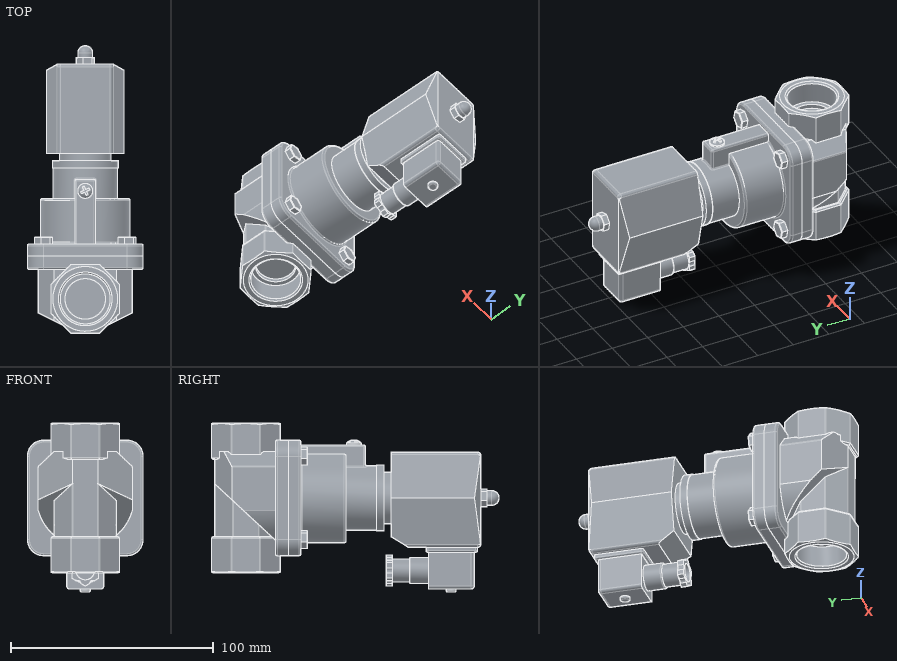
import cadquery as cq
import math


PIPE_HALF_LENGTH = 37.0
COLLAR_ACROSS_FLATS = 34.0
COLLAR_LENGTH = 18.0
COLLAR_ROUND_DIAMETER = 31.98
COLLAR_ROUND_DROP = 0.8
COLLAR_INNER_CHAMFER = 0.8
NECK_ACROSS_FLATS = 30.8
OCTAGON_EDGE_FILLET = 0.6
PORT_DIAMETER = 24.66
PORT_DEPTH = 11.6
PORT_CHAMFER = 0.9
SEAT_DIAMETER = 20.0
SEAT_DEPTH = 2.3

CHAMBER_HALF_WIDTH = 23.2
CHAMBER_RADIUS = 24.0
CHAMBER_TOP = 22.9
CHAMBER_TOP_HALF_WIDTH = 15.4
CHAMBER_SHOULDER_Z = 15.5
CHAMBER_SIDE_FRONT_Y = -6.9
CHAMBER_EDGE_FILLET = 0.8
CUT_FRONT_Z = 7.0
CUT_BACK_Z = -20.8

FLANGE_SIZE = 57.1
FLANGE_CORNER_RADIUS = 8.0
FLANGE_EDGE_FILLET = 1.0
FLANGE_FRONT_Y = 14.55
JOINT_Y = 21.05
FLANGE_BACK_Y = 27.2
BOLT_OFFSET = 20.6
HEX_ACROSS_FLATS = 8.0
HEX_VERTEX_ANGLE = 45.0
BOLT_HEAD_HEIGHT = 3.3
BOLT_HEAD_CHAMFER = 0.3

BONNET_RADIUS = 22.2
BONNET_END_Y = 49.5
BONNET_FILLET = 1.0
BONNET_ROOT_FILLET = 0.8
SLEEVE_RADIUS = 16.0
SLEEVE_END_Y = 64.5
RING_RADIUS = 16.3
RING_END_Y = 68.2
BRIDGE_TOP_Z = 26.2
BRIDGE_WIDTH = 10.2
BRIDGE_END_Y = 59.0
BRIDGE_FILLET = 0.9
BRIDGE_ROOT_FILLET = 0.7
BRIDGE_SCREW_Y = 53.3
BRIDGE_SCREW_DIAMETER = 7.4
BRIDGE_SCREW_RIM_HEIGHT = 0.8
BRIDGE_SCREW_HEIGHT = 2.5
CROSS_LENGTH = 4.6
CROSS_WIDTH = 1.0
CROSS_DEPTH = 1.4
CROSS_ANGLE = 25.0

COIL_NECK_DIAMETER = 25.57
COIL_FRONT_Y = 71.7
COIL_BACK_Y = 116.0
COIL_TOP_Z = 22.6
COIL_BOTTOM_Z = -24.4
COIL_HALF_WIDTH = 19.2
COIL_END_HALF_WIDTH = 13.5
COIL_BACK_SLOPE = 3.2
COIL_EDGE_FILLET = 1.7
COIL_NOTCH_LENGTH = 8.5
COIL_NOTCH_HEIGHT = 5.2

CAP_HEX_LENGTH = 3.0
CAP_DIAMETER = 7.4
CAP_END_Y = 124.97

GASKET_WIDTH = 20.8
GASKET_FRONT_Y = 88.9
GASKET_BACK_Y = 114.3
GASKET_BOTTOM_Z = -26.8
GASKET_FILLET = 1.0
GASKET_RIM_FILLET = 0.8
PLUG_WIDTH = 18.4
PLUG_FRONT_Y = 90.1
PLUG_BACK_Y = 112.7
PLUG_BOTTOM_Z = -45.0
PLUG_FILLET = 1.6
PLUG_SCREW_DIAMETER = 5.0
PLUG_SCREW_FILLET = 0.7
PLUG_SCREW_Y = 101.3
PLUG_SCREW_BOTTOM_Z = -46.42
GLAND_AXIS_Z = -35.8
GLAND_BASE_RADIUS = 6.45
GLAND_BASE_FRONT_Y = 80.7
GLAND_BASE_FILLET = 0.6
GLAND_STEM_RADIUS = 5.75
GLAND_NUT_BACK_Y = 72.3
GLAND_NUT_FRONT_Y = 69.15
GLAND_NUT_TIP_RADIUS = 7.65
GLAND_SCALLOP_RADIUS = 1.9
GLAND_SCALLOP_CENTRE_RADIUS = 8.0
GLAND_HOLE_DIAMETER = 9.2

SIDES_OF_HEX = 6
SIDES_OF_OCTAGON = 8


def cylinder_y(radius, y_from, y_to, x=0.0, z=0.0):
    """Cylinder along +Y from y_from to y_to."""
    plane = cq.Plane(origin=(x, y_from, z), xDir=(1, 0, 0), normal=(0, 1, 0))
    return cq.Workplane(plane).circle(radius).extrude(y_to - y_from)


def block(width, y_from, y_to, z_from, z_to):
    """Box centred on X."""
    return cq.Workplane("XY").box(width, y_to - y_from, z_to - z_from).translate(
        (0, (y_from + y_to) / 2, (z_from + z_to) / 2)
    )


def profile_xz(points, y_from, y_to):
    """Closed XZ outline extruded along +Y."""
    return cq.Workplane("XZ", origin=(0, y_from, 0)).polyline(points).close().extrude(y_from - y_to)


def hex_prism(x, z, y_from, y_to):
    """Hexagon head along +Y; one vertex lies at HEX_VERTEX_ANGLE from X toward Z."""
    radius = HEX_ACROSS_FLATS / 2 / math.cos(math.pi / SIDES_OF_HEX)
    points = []
    for side in range(SIDES_OF_HEX):
        angle = math.radians(HEX_VERTEX_ANGLE + side * 360 / SIDES_OF_HEX)
        points.append((x + radius * math.cos(angle), z + radius * math.sin(angle)))
    return profile_xz(points, y_from, y_to)


def octagon_prism(across_flats, z_from, z_to):
    """Octagon along Z with flats square to X and Y."""
    corner_diameter = across_flats / math.cos(math.pi / SIDES_OF_OCTAGON)
    prism = cq.Workplane("XY", origin=(0, 0, z_from)).polygon(SIDES_OF_OCTAGON, corner_diameter)
    return prism.extrude(z_to - z_from).rotate((0, 0, 0), (0, 0, 1), 180 / SIDES_OF_OCTAGON)


def make_collar():
    """Upper pipe collar: octagon with corners turned off at the open end."""
    collar = octagon_prism(COLLAR_ACROSS_FLATS, PIPE_HALF_LENGTH - COLLAR_LENGTH, PIPE_HALF_LENGTH)
    collar = collar.faces("<Z").chamfer(COLLAR_INNER_CHAMFER)

    end_radius = COLLAR_ROUND_DIAMETER / 2
    corner_radius = COLLAR_ACROSS_FLATS / 2 / math.cos(math.pi / SIDES_OF_OCTAGON)
    cone_slope = COLLAR_ROUND_DROP / (corner_radius - end_radius)
    turning_reach = 2 * corner_radius
    envelope = (
        cq.Workplane("XZ")
        .moveTo(0, 0)
        .lineTo(turning_reach, 0)
        .lineTo(turning_reach, PIPE_HALF_LENGTH - cone_slope * (turning_reach - end_radius))
        .lineTo(end_radius, PIPE_HALF_LENGTH)
        .lineTo(0, PIPE_HALF_LENGTH)
        .close()
        .revolve(360, (0, 0, 0), (0, 1, 0))
    )
    return collar.intersect(envelope).edges("|Z").fillet(OCTAGON_EDGE_FILLET)


def make_port():
    """Stepped blind port at the upper pipe end, as a cutter."""
    bore = cq.Workplane("XY", origin=(0, 0, PIPE_HALF_LENGTH)).circle(PORT_DIAMETER / 2).extrude(-PORT_DEPTH)
    seat = (
        cq.Workplane("XY", origin=(0, 0, PIPE_HALF_LENGTH - PORT_DEPTH))
        .circle(SEAT_DIAMETER / 2)
        .extrude(-SEAT_DEPTH)
    )
    mouth = cq.Solid.makeCone(
        PORT_DIAMETER / 2,
        PORT_DIAMETER / 2 + PORT_CHAMFER,
        PORT_CHAMFER,
        pnt=cq.Vector(0, 0, PIPE_HALF_LENGTH - PORT_CHAMFER),
    )
    return bore.union(seat).union(cq.Workplane(obj=mouth))


def make_chamber():
    """Diaphragm chamber: shouldered top, round underside, tapered front, sloping underside cut."""
    neck_front_y = -NECK_ACROSS_FLATS / 2
    neck_half_flat = NECK_ACROSS_FLATS / 2 * math.tan(math.pi / SIDES_OF_OCTAGON)
    arc_start_z = -math.sqrt(CHAMBER_RADIUS**2 - CHAMBER_HALF_WIDTH**2)
    elevation = (
        cq.Workplane("XZ", origin=(0, JOINT_Y, 0))
        .moveTo(-CHAMBER_HALF_WIDTH, arc_start_z)
        .lineTo(-CHAMBER_HALF_WIDTH, CHAMBER_SHOULDER_Z)
        .lineTo(-CHAMBER_TOP_HALF_WIDTH, CHAMBER_TOP)
        .lineTo(CHAMBER_TOP_HALF_WIDTH, CHAMBER_TOP)
        .lineTo(CHAMBER_HALF_WIDTH, CHAMBER_SHOULDER_Z)
        .lineTo(CHAMBER_HALF_WIDTH, arc_start_z)
        .threePointArc((0, -CHAMBER_RADIUS), (-CHAMBER_HALF_WIDTH, arc_start_z))
        .close()
        .extrude(JOINT_Y - neck_front_y)
    )
    shoulders = cq.selectors.BoxSelector(
        (-FLANGE_SIZE, -FLANGE_SIZE, 0),
        (FLANGE_SIZE, FLANGE_SIZE, (CHAMBER_SHOULDER_Z + CHAMBER_TOP) / 2),
    )
    elevation = elevation.edges("|Y").edges(shoulders).fillet(CHAMBER_EDGE_FILLET)
    plan = (
        cq.Workplane("XY", origin=(0, 0, -PIPE_HALF_LENGTH))
        .polyline(
            [
                (-CHAMBER_HALF_WIDTH, JOINT_Y),
                (-CHAMBER_HALF_WIDTH, CHAMBER_SIDE_FRONT_Y),
                (-neck_half_flat, neck_front_y),
                (neck_half_flat, neck_front_y),
                (CHAMBER_HALF_WIDTH, CHAMBER_SIDE_FRONT_Y),
                (CHAMBER_HALF_WIDTH, JOINT_Y),
            ]
        )
        .close()
        .extrude(2 * PIPE_HALF_LENGTH)
    )
    side = (
        cq.Workplane("YZ", origin=(-CHAMBER_HALF_WIDTH, 0, 0))
        .polyline(
            [
                (neck_front_y, CUT_FRONT_Z),
                (neck_front_y, CHAMBER_TOP),
                (JOINT_Y, CHAMBER_TOP),
                (JOINT_Y, CUT_BACK_Z),
                (FLANGE_FRONT_Y, CUT_BACK_Z),
            ]
        )
        .close()
        .extrude(2 * CHAMBER_HALF_WIDTH)
    )
    return elevation.intersect(plan).intersect(side)


def make_flange(y_from, y_to, rounded_face):
    """Square flange plate with round corners; the outer face has a rounded rim."""
    plate = block(FLANGE_SIZE, y_from, y_to, -FLANGE_SIZE / 2, FLANGE_SIZE / 2)
    plate = plate.edges("|Y").fillet(FLANGE_CORNER_RADIUS)
    return plate.faces(rounded_face).edges().fillet(FLANGE_EDGE_FILLET)


def make_valve_body():
    neck_end = PIPE_HALF_LENGTH - COLLAR_LENGTH / 2
    body = octagon_prism(NECK_ACROSS_FLATS, -neck_end, neck_end).edges("|Z").fillet(OCTAGON_EDGE_FILLET)
    body = body.union(make_chamber())
    body = body.union(make_flange(FLANGE_FRONT_Y, JOINT_Y, "<Y"))
    collar = make_collar()
    port = make_port()
    body = body.union(collar).union(collar.mirror("XY"))
    return body.cut(port).cut(port.mirror("XY"))


def make_bridge():
    """Rib on top of the bonnet that carries the override screw."""
    bridge = block(BRIDGE_WIDTH, JOINT_Y, BRIDGE_END_Y, 0, BRIDGE_TOP_Z)
    return bridge.faces(">Z or >Y").edges("not (<Z or <Y)").fillet(BRIDGE_FILLET)


def make_bridge_screw():
    """Domed screw head with a cross recess."""
    base = cq.Workplane("XY", origin=(0, BRIDGE_SCREW_Y, BRIDGE_TOP_Z))
    radius = BRIDGE_SCREW_DIAMETER / 2
    dome_height = BRIDGE_SCREW_HEIGHT - BRIDGE_SCREW_RIM_HEIGHT
    dome_radius = (radius**2 + dome_height**2) / (2 * dome_height)
    dome_centre_z = BRIDGE_TOP_Z + BRIDGE_SCREW_HEIGHT - dome_radius
    dome = cq.Workplane("XY", origin=(0, BRIDGE_SCREW_Y, dome_centre_z)).sphere(dome_radius)
    screw = base.circle(radius).extrude(BRIDGE_SCREW_HEIGHT).intersect(dome)
    recess_floor = base.workplane(offset=BRIDGE_SCREW_HEIGHT - CROSS_DEPTH)
    for angle in (CROSS_ANGLE, CROSS_ANGLE + 90):
        slot = recess_floor.transformed(rotate=(0, 0, angle)).rect(CROSS_LENGTH, CROSS_WIDTH)
        screw = screw.cut(slot.extrude(CROSS_DEPTH))
    return screw


def make_bonnet():
    drum = cylinder_y(BONNET_RADIUS, JOINT_Y, BONNET_END_Y)
    drum = drum.faces(">Y").edges().fillet(BONNET_FILLET)
    bonnet = make_flange(JOINT_Y, FLANGE_BACK_Y, ">Y").union(drum)
    drum_root = cq.selectors.BoxSelector((-1, FLANGE_BACK_Y - 1, -1), (1, FLANGE_BACK_Y + 1, 1))
    bonnet = bonnet.edges(drum_root).fillet(BONNET_ROOT_FILLET)

    bonnet = bonnet.union(cylinder_y(SLEEVE_RADIUS, JOINT_Y, SLEEVE_END_Y))
    bonnet = bonnet.union(make_bridge())
    bridge_root = cq.selectors.BoxSelector(
        (-BRIDGE_WIDTH, BONNET_END_Y + BONNET_FILLET, 0),
        (BRIDGE_WIDTH, BRIDGE_END_Y + BONNET_FILLET, SLEEVE_RADIUS + BRIDGE_ROOT_FILLET),
    )
    bonnet = bonnet.edges(bridge_root).fillet(BRIDGE_ROOT_FILLET)
    bonnet = bonnet.union(cylinder_y(RING_RADIUS, SLEEVE_END_Y, RING_END_Y))
    return bonnet.union(make_bridge_screw())


def make_bolt(x, z):
    """Hexagon bolt head seated on the bonnet flange."""
    head = hex_prism(x, z, FLANGE_BACK_Y, FLANGE_BACK_Y + BOLT_HEAD_HEIGHT)
    return head.faces(">Y").chamfer(BOLT_HEAD_CHAMFER)


def make_coil():
    elevation = profile_xz(
        [
            (-COIL_END_HALF_WIDTH, COIL_BOTTOM_Z),
            (-COIL_HALF_WIDTH, 0),
            (-COIL_END_HALF_WIDTH, COIL_TOP_Z),
            (COIL_END_HALF_WIDTH, COIL_TOP_Z),
            (COIL_HALF_WIDTH, 0),
            (COIL_END_HALF_WIDTH, COIL_BOTTOM_Z),
        ],
        COIL_FRONT_Y,
        COIL_BACK_Y,
    )
    plan = (
        cq.Workplane("XY", origin=(0, 0, COIL_BOTTOM_Z))
        .polyline(
            [
                (-COIL_HALF_WIDTH, COIL_FRONT_Y),
                (-COIL_HALF_WIDTH, COIL_BACK_Y - COIL_BACK_SLOPE),
                (-COIL_END_HALF_WIDTH, COIL_BACK_Y),
                (COIL_END_HALF_WIDTH, COIL_BACK_Y),
                (COIL_HALF_WIDTH, COIL_BACK_Y - COIL_BACK_SLOPE),
                (COIL_HALF_WIDTH, COIL_FRONT_Y),
            ]
        )
        .close()
        .extrude(COIL_TOP_Z - COIL_BOTTOM_Z)
    )
    coil = elevation.intersect(plan)
    for face in (">Z", "<Z"):
        coil = coil.faces(face).edges("not <Y").fillet(COIL_EDGE_FILLET)
    notch = (
        cq.Workplane("YZ", origin=(-COIL_HALF_WIDTH, 0, 0))
        .polyline(
            [
                (COIL_FRONT_Y, COIL_BOTTOM_Z),
                (COIL_FRONT_Y + COIL_NOTCH_LENGTH, COIL_BOTTOM_Z),
                (COIL_FRONT_Y, COIL_BOTTOM_Z + COIL_NOTCH_HEIGHT),
            ]
        )
        .close()
        .extrude(2 * COIL_HALF_WIDTH)
    )
    return coil.cut(notch).union(cylinder_y(COIL_NECK_DIAMETER / 2, RING_END_Y, COIL_FRONT_Y))


def make_cap_nut():
    """Domed nut that holds the coil."""
    radius = CAP_DIAMETER / 2
    hex_end_y = COIL_BACK_Y + CAP_HEX_LENGTH
    dome_centre_y = CAP_END_Y - radius
    cap = cylinder_y(radius, hex_end_y, dome_centre_y)
    dome = cq.Workplane("XY", origin=(0, dome_centre_y, 0)).sphere(radius)
    return hex_prism(0, 0, COIL_BACK_Y, hex_end_y).union(cap).union(dome)


def make_gland():
    """Cable gland: stepped stem with a scalloped six-lobed nut."""
    base = cylinder_y(GLAND_BASE_RADIUS, GLAND_BASE_FRONT_Y, PLUG_FRONT_Y, z=GLAND_AXIS_Z)
    base = base.faces("<Y").edges().fillet(GLAND_BASE_FILLET)
    stem = cylinder_y(GLAND_STEM_RADIUS, GLAND_NUT_FRONT_Y, PLUG_FRONT_Y, z=GLAND_AXIS_Z)

    tips = []
    for lobe in range(SIDES_OF_HEX):
        angle = math.radians(30 + lobe * 360 / SIDES_OF_HEX)
        tip_x = GLAND_NUT_TIP_RADIUS * math.cos(angle)
        tips.append((tip_x, GLAND_AXIS_Z + GLAND_NUT_TIP_RADIUS * math.sin(angle)))
    nut = profile_xz(tips, GLAND_NUT_FRONT_Y, GLAND_NUT_BACK_Y)
    for lobe in range(SIDES_OF_HEX):
        angle = math.radians(lobe * 360 / SIDES_OF_HEX)
        scallop = cylinder_y(
            GLAND_SCALLOP_RADIUS,
            GLAND_NUT_FRONT_Y,
            GLAND_NUT_BACK_Y,
            x=GLAND_SCALLOP_CENTRE_RADIUS * math.cos(angle),
            z=GLAND_AXIS_Z + GLAND_SCALLOP_CENTRE_RADIUS * math.sin(angle),
        )
        nut = nut.cut(scallop)
    hole = cylinder_y(GLAND_HOLE_DIAMETER / 2, GLAND_NUT_FRONT_Y, PLUG_FRONT_Y, z=GLAND_AXIS_Z)
    return base.union(stem).union(nut).cut(hole)


def make_plug():
    gasket = block(GASKET_WIDTH, GASKET_FRONT_Y, GASKET_BACK_Y, GASKET_BOTTOM_Z, COIL_BOTTOM_Z)
    gasket = gasket.edges("|Z").fillet(GASKET_FILLET)
    gasket = gasket.faces("<Z").edges().fillet(GASKET_RIM_FILLET)
    case = block(PLUG_WIDTH, PLUG_FRONT_Y, PLUG_BACK_Y, PLUG_BOTTOM_Z, GASKET_BOTTOM_Z)
    case = case.edges("(|Z and >Y) or (<Z and (not <Y))").fillet(PLUG_FILLET)
    screw = (
        cq.Workplane("XY", origin=(0, PLUG_SCREW_Y, PLUG_BOTTOM_Z))
        .circle(PLUG_SCREW_DIAMETER / 2)
        .extrude(PLUG_SCREW_BOTTOM_Z - PLUG_BOTTOM_Z)
        .faces("<Z")
        .edges()
        .fillet(PLUG_SCREW_FILLET)
    )
    return gasket.union(case).union(screw).union(make_gland())


valve_body = make_valve_body()
bonnet = make_bonnet()
bolts = [make_bolt(sx * BOLT_OFFSET, sz * BOLT_OFFSET) for sx in (-1, 1) for sz in (-1, 1)]
coil = make_coil()
cap_nut = make_cap_nut()
plug = make_plug()

result = cq.Compound.makeCompound(
    [
        valve_body.val(),
        bonnet.val(),
        *[bolt.val() for bolt in bolts],
        coil.val(),
        cap_nut.val(),
        plug.val(),
    ]
)